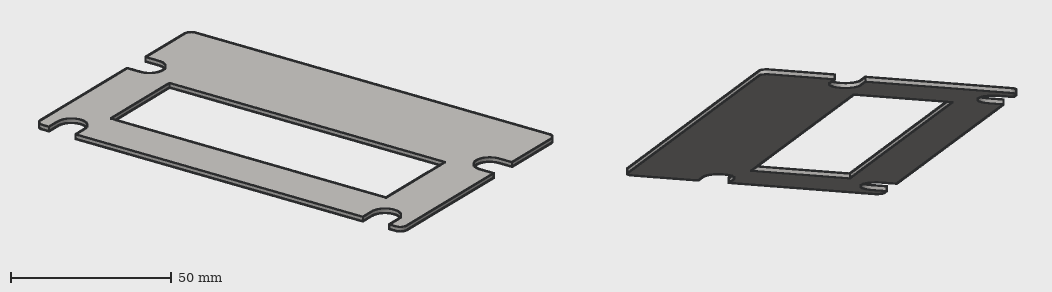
import cadquery as cq

plate_length = 139.0
plate_width = 84.2
plate_thickness = 1.6
corner_radius = 2.5

window_length = 104.4
window_width = 32.3
window_from_front = 16.1

slot_width = 10.0
slot_depth = 10.0
front_slot_from_side = 10.0
side_slot_from_front = 55.2

half_length = plate_length / 2
front_y = -plate_width / 2


def make_plate():
    """Flat plate with rounded vertical corners, centred on the origin."""
    plate = cq.Workplane("XY").box(plate_length, plate_width, plate_thickness)
    return plate.edges("|Z").fillet(corner_radius)


def make_window():
    """Cutter for the rectangular window."""
    window_y = front_y + window_from_front + window_width / 2
    window = cq.Workplane("XY").box(window_length, window_width, plate_thickness)
    return window.translate((0, window_y, 0))


def make_edge_slot(edge_x, edge_y, inward_angle):
    """Cutter for a slot centred on an edge point and reaching slot_depth inward."""
    slot = cq.Workplane("XY").slot2D(2 * slot_depth, slot_width)
    slot = slot.extrude(plate_thickness / 2, both=True)
    slot = slot.rotate((0, 0, 0), (0, 0, 1), inward_angle)
    return slot.translate((edge_x, edge_y, 0))


result = make_plate().cut(make_window())
for side in (-1, 1):
    side_slot = make_edge_slot(side * half_length, front_y + side_slot_from_front, 0)
    front_slot = make_edge_slot(side * (half_length - front_slot_from_side), front_y, 90)
    result = result.cut(side_slot).cut(front_slot)